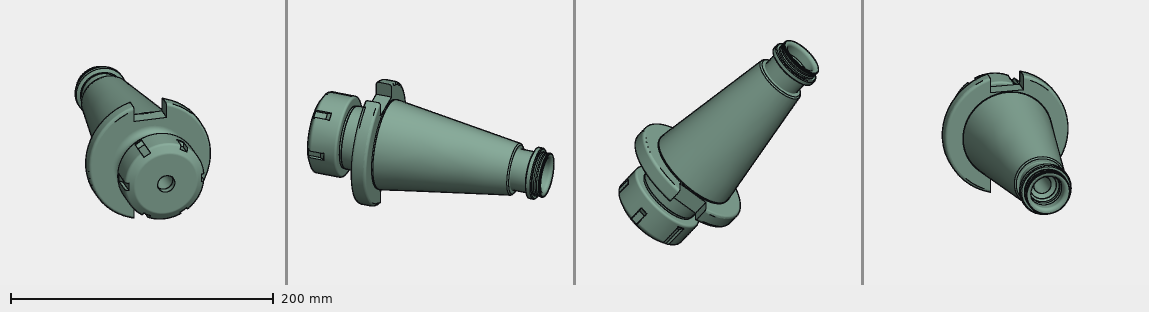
import cadquery as cq
import math

OVERALL_LENGTH = 184.5

NOSE_RADIUS = 17.2
NOSE_CHAMFER = 0.5
NOSE_GROOVE_RADIUS = 16.6
NOSE_GROOVE_START = 1.3
NOSE_GROOVE_FLOOR_START = 3.0
NOSE_GROOVE_FLOOR_END = 4.0
NOSE_GROOVE_END = 5.2
COLLAR_RADIUS = 20.0
COLLAR_START = 6.5
COLLAR_LEFT_CHAMFER = 0.7
COLLAR_TOP_END = 10.5
COLLAR_END = 11.8
COLLAR_END_RADIUS = 17.0
REAR_NECK_RADIUS = 16.0
REAR_NECK_FILLET = 0.5

TAPER_START = 24.5
TAPER_END = 127.3
TAPER_END_RADIUS = 35.0
TAPER_RATIO = 7 / 24
TAPER_START_RADIUS = TAPER_END_RADIUS - (TAPER_END - TAPER_START) * TAPER_RATIO / 2
TAPER_CHAMFER = 1.1
RELIEF_START = 128.5
RELIEF_DEPTH = 0.4

FLANGE_START = 129.5
FLANGE_END = 141.9
FLANGE_RADIUS = 96.9 / 2
FLANGE_ROUNDING = 2.2
DRIVE_SLOT_WIDTH = 25.8
DRIVE_SLOT_FLOOR = 35.2

FRONT_NECK_RADIUS = 24.5
FRONT_NECK_END = 157.5
FRONT_NECK_FILLET = 5.0
SPIGOT_RADIUS = 24.2

NUT_START = 159.0
NUT_RADIUS = 31.5
NUT_REAR_ROUNDING = 1.8
NUT_FACE_RADIUS = 24.2
NUT_CONE_ANGLE = 60.0
NUT_SHOULDER_START = 179.0
NUT_SHOULDER_RADIUS = 2.8
NUT_FACE_ROUNDING = 2.8
SPIGOT_END = NUT_SHOULDER_START

WRENCH_SLOT_COUNT = 6
WRENCH_SLOT_WIDTH = 6.0
WRENCH_SLOT_FLOOR = 28.8
WRENCH_SLOT_RAMP_LENGTH = 3.7
WRENCH_SLOT_RAMP_HEIGHT = 2.2
SLOT_CUTTER_CLEARANCE = 1.8
LONG_SLOT_START = 162.4
SHORT_SLOT_START = 169.0

THROUGH_BORE_RADIUS = 6.8
PILOT_RADIUS = 13.0
PILOT_END = 9.5
MOUTH_ROUNDING = 2.8
SEAT_RADIUS = 12.0
SEAT_START = 10.7
SEAT_END = 13.8
CORE_RADIUS = 10.3
CORE_START = 15.5
CORE_END = 16.0
DRILL_POINT_HALF_ANGLE = 59.0


def revolve_about_x(profile):
    """Revolve a closed (x, radius) profile a full turn about the X axis."""
    return profile.close().revolve(360, (0, 0, 0), (1, 0, 0))


def make_holder_blank():
    """Solid of revolution for the holder, before the bore and drive slots."""
    taper_chamfer_radius = TAPER_START_RADIUS + TAPER_CHAMFER * TAPER_RATIO / 2
    neck_chamfer = FRONT_NECK_RADIUS - SPIGOT_RADIUS
    profile = (
        cq.Workplane("XZ")
        .moveTo(0, 0)
        .lineTo(0, NOSE_RADIUS - NOSE_CHAMFER)
        .lineTo(NOSE_CHAMFER, NOSE_RADIUS)
        .lineTo(NOSE_GROOVE_START, NOSE_RADIUS)
        .lineTo(NOSE_GROOVE_FLOOR_START, NOSE_GROOVE_RADIUS)
        .lineTo(NOSE_GROOVE_FLOOR_END, NOSE_GROOVE_RADIUS)
        .lineTo(NOSE_GROOVE_END, NOSE_RADIUS)
        .lineTo(COLLAR_START, NOSE_RADIUS)
        .lineTo(COLLAR_START, COLLAR_RADIUS - COLLAR_LEFT_CHAMFER)
        .lineTo(COLLAR_START + COLLAR_LEFT_CHAMFER, COLLAR_RADIUS)
        .lineTo(COLLAR_TOP_END, COLLAR_RADIUS)
        .lineTo(COLLAR_END, COLLAR_END_RADIUS)
        .lineTo(COLLAR_END, REAR_NECK_RADIUS)
        .lineTo(TAPER_START - REAR_NECK_FILLET, REAR_NECK_RADIUS)
        .radiusArc((TAPER_START, REAR_NECK_RADIUS + REAR_NECK_FILLET), -REAR_NECK_FILLET)
        .lineTo(TAPER_START, TAPER_START_RADIUS - TAPER_CHAMFER)
        .lineTo(TAPER_START + TAPER_CHAMFER, taper_chamfer_radius)
        .lineTo(TAPER_END, TAPER_END_RADIUS)
        .lineTo(RELIEF_START, TAPER_END_RADIUS)
        .lineTo(RELIEF_START, TAPER_END_RADIUS - RELIEF_DEPTH)
        .lineTo(FLANGE_START, TAPER_END_RADIUS - RELIEF_DEPTH)
        .lineTo(FLANGE_START, FLANGE_RADIUS - FLANGE_ROUNDING)
        .radiusArc((FLANGE_START + FLANGE_ROUNDING, FLANGE_RADIUS), FLANGE_ROUNDING)
        .lineTo(FLANGE_END - FLANGE_ROUNDING, FLANGE_RADIUS)
        .radiusArc((FLANGE_END, FLANGE_RADIUS - FLANGE_ROUNDING), FLANGE_ROUNDING)
        .lineTo(FLANGE_END, FRONT_NECK_RADIUS + FRONT_NECK_FILLET)
        .radiusArc((FLANGE_END + FRONT_NECK_FILLET, FRONT_NECK_RADIUS), -FRONT_NECK_FILLET)
        .lineTo(FRONT_NECK_END - neck_chamfer, FRONT_NECK_RADIUS)
        .lineTo(FRONT_NECK_END, SPIGOT_RADIUS)
        .lineTo(SPIGOT_END, SPIGOT_RADIUS)
        .lineTo(SPIGOT_END, 0)
    )
    return revolve_about_x(profile)


def make_bore():
    """Stepped bore: rounded mouth, pilot, seat, core hole, drill point, through bore."""
    drill_point_length = (CORE_RADIUS - THROUGH_BORE_RADIUS) / math.tan(
        math.radians(DRILL_POINT_HALF_ANGLE)
    )
    profile = (
        cq.Workplane("XZ")
        .moveTo(0, 0)
        .lineTo(0, PILOT_RADIUS + MOUTH_ROUNDING)
        .radiusArc((MOUTH_ROUNDING, PILOT_RADIUS), -MOUTH_ROUNDING)
        .lineTo(PILOT_END, PILOT_RADIUS)
        .lineTo(SEAT_START, SEAT_RADIUS)
        .lineTo(SEAT_END, SEAT_RADIUS)
        .lineTo(CORE_START, CORE_RADIUS)
        .lineTo(CORE_END, CORE_RADIUS)
        .lineTo(CORE_END + drill_point_length, THROUGH_BORE_RADIUS)
        .lineTo(OVERALL_LENGTH, THROUGH_BORE_RADIUS)
        .lineTo(OVERALL_LENGTH, 0)
    )
    return revolve_about_x(profile)


def make_drive_slot():
    """Cutter for the drive slot across the flange at +Z."""
    slot_depth = FLANGE_RADIUS - DRIVE_SLOT_FLOOR
    slot_middle = DRIVE_SLOT_FLOOR + slot_depth / 2
    return (
        cq.Workplane("XY", origin=((FLANGE_START + FLANGE_END) / 2, 0, slot_middle))
        .box(FLANGE_END - FLANGE_START, DRIVE_SLOT_WIDTH, slot_depth)
    )


def make_holder():
    """Taper holder with its flange, spigot, bore and drive slots."""
    slot = make_drive_slot()
    opposite_slot = slot.rotate((0, 0, 0), (1, 0, 0), 180)
    return make_holder_blank().cut(slot).cut(opposite_slot).cut(make_bore())


def make_nut_blank():
    """Cap-shaped nut: socket for the spigot, front lip with the through bore."""
    cone_angle = math.radians(NUT_CONE_ANGLE)
    shoulder_end = NUT_SHOULDER_START + NUT_SHOULDER_RADIUS * math.sin(cone_angle)
    shoulder_end_radius = NUT_RADIUS - NUT_SHOULDER_RADIUS * (1 - math.cos(cone_angle))
    face_rounding_start = OVERALL_LENGTH - NUT_FACE_ROUNDING * (1 - math.sin(cone_angle))
    face_rounding_radius = NUT_FACE_RADIUS + NUT_FACE_ROUNDING * math.cos(cone_angle)
    profile = (
        cq.Workplane("XZ")
        .moveTo(NUT_START, SPIGOT_RADIUS)
        .lineTo(NUT_START, NUT_RADIUS - NUT_REAR_ROUNDING)
        .radiusArc((NUT_START + NUT_REAR_ROUNDING, NUT_RADIUS), NUT_REAR_ROUNDING)
        .lineTo(NUT_SHOULDER_START, NUT_RADIUS)
        .radiusArc((shoulder_end, shoulder_end_radius), NUT_SHOULDER_RADIUS)
        .lineTo(face_rounding_start, face_rounding_radius)
        .radiusArc((OVERALL_LENGTH, NUT_FACE_RADIUS), NUT_FACE_ROUNDING)
        .lineTo(OVERALL_LENGTH, THROUGH_BORE_RADIUS)
        .lineTo(SPIGOT_END, THROUGH_BORE_RADIUS)
        .lineTo(SPIGOT_END, SPIGOT_RADIUS)
    )
    return revolve_about_x(profile)


def make_wrench_slot(start, angle):
    """Cutter for one wrench slot, with a ramp at its closed end, turned about X from +Y."""
    length = OVERALL_LENGTH - start
    height = NUT_RADIUS + SLOT_CUTTER_CLEARANCE - WRENCH_SLOT_FLOOR
    return (
        cq.Workplane("XY")
        .box(length, height, WRENCH_SLOT_WIDTH, centered=(False, False, True))
        .edges("<X and <Y")
        .chamfer(WRENCH_SLOT_RAMP_HEIGHT, WRENCH_SLOT_RAMP_LENGTH)
        .translate((start, WRENCH_SLOT_FLOOR, 0))
        .rotate((0, 0, 0), (1, 0, 0), angle)
    )


def make_nut():
    """Clamping nut: short wrench slots on its +Y half, long ones on its -Y half."""
    nut = make_nut_blank()
    for index in range(WRENCH_SLOT_COUNT):
        angle = index * 360 / WRENCH_SLOT_COUNT
        on_plus_y_half = math.cos(math.radians(angle)) > 0
        start = SHORT_SLOT_START if on_plus_y_half else LONG_SLOT_START
        nut = nut.cut(make_wrench_slot(start, angle))
    return nut


holder = make_holder()
nut = make_nut()

result = cq.Compound.makeCompound([holder.solids().val(), nut.solids().val()])